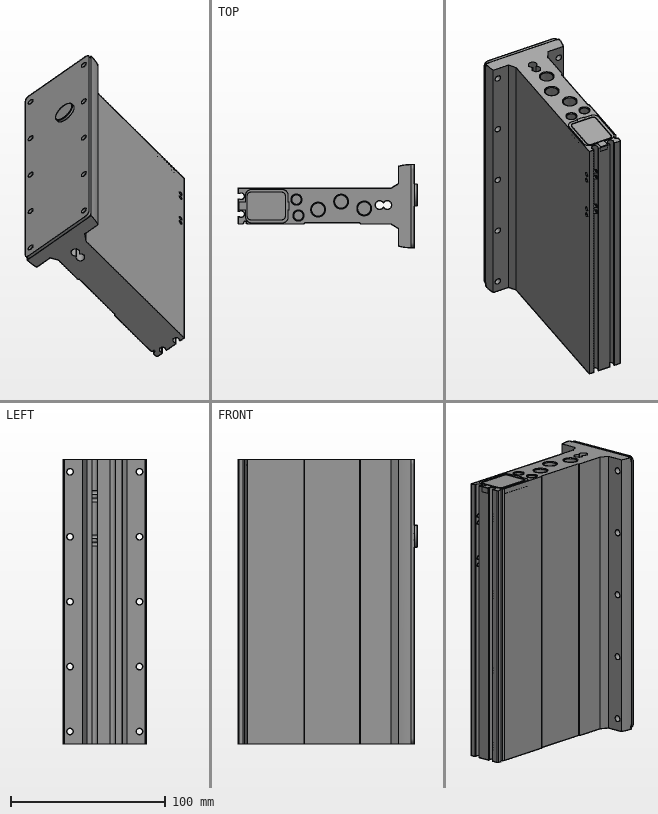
import cadquery as cq

length = 184.4
overall_width = 116.2
flange_width = 54.0

plate_x = 112.1
web_half = 11.6
flange_x = 103.8
gusset_x = 99.0
gusset_half = 14.5
flange_half = flange_width / 2
flange_land = 0.5
flange_edge_drop = 1.1
edge_chamfer = 0.5

panel_start = 42.6
panel_end = 79.3
panel_depth = 0.7
panel_slope = 0.5
groove_start = 3.3
groove_end = 5.2
groove_depth = 1.8
groove_lean = 1.0
groove_bevel = 1.1
groove_bevel_depth = 0.5

slot_centres_y = (6.5, -5.2)
slot_mouth = 3.3
slot_bulb_diameter = 4.0
slot_centre_x = 2.0

cross_hole_diameter = 2.5
cross_hole_x = 3.7
cross_hole_pairs_z = (160.5, 131.8)
cross_hole_spacing = 4.8

small_holes = ((37.8, 4.2), (39.1, -6.0))
large_holes = ((51.8, -2.2), (66.8, 3.0), (81.7, -1.5))
small_hole_diameter = 6.0
large_hole_diameter = 8.5
end_hole_depth = 36.9
rim_chamfer = 0.5
rim_angle = 45.0
twin_hole_diameter = 5.5
twin_holes = ((91.6, 0.7), (96.6, 0.7))

mount_hole_diameter = 4.0
mount_hole_y = 22.5
mount_hole_count = 5
mount_hole_pitch = 42.0

cap_x = (4.8, 32.5)
cap_y = (-10.9, 10.9)
cap_radius = 4.0
cap_depth = 3.7
tab_x = (0.7, 33.0)
tab_y = (-2.4, 2.8)
cap_panel_x = (5.9, 30.6)
cap_panel_y = (-8.9, 9.0)
cap_panel_radius = 2.2
cap_panel_depth = 0.4

plate_thickness = 2.0
plate_corner_radius = 3.3

knob_diameter = 14.4
knob_y = 7.2
knob_z = 134.6
knob_chamfer = 0.4


def box_between(x_range, y_range, z_range):
    """Box spanning three (low, high) ranges."""
    corner = (x_range[0], y_range[0], z_range[0])
    return cq.Workplane("XY").box(
        x_range[1] - x_range[0],
        y_range[1] - y_range[0],
        z_range[1] - z_range[0],
        centered=False,
    ).translate(corner)


def profile_body():
    """Web and curved flange, with the groove and shallow panel of the -Y face in the outline."""
    edge_half = flange_half - flange_edge_drop
    flange_run = plate_x - flange_land - flange_x
    edge_arc_radius = (flange_run**2 + flange_edge_drop**2) / (2 * flange_edge_drop)
    return (
        cq.Workplane("XY")
        .moveTo(0, web_half)
        .lineTo(gusset_x, web_half)
        .lineTo(flange_x, gusset_half)
        .lineTo(flange_x, edge_half)
        .radiusArc((plate_x - flange_land, flange_half), edge_arc_radius)
        .lineTo(plate_x, flange_half)
        .lineTo(plate_x, -flange_half)
        .lineTo(plate_x - flange_land, -flange_half)
        .radiusArc((flange_x, -edge_half), edge_arc_radius)
        .lineTo(flange_x, -gusset_half)
        .lineTo(gusset_x, -web_half)
        .lineTo(panel_end, -web_half)
        .lineTo(panel_end - panel_slope, panel_depth - web_half)
        .lineTo(panel_start + panel_slope, panel_depth - web_half)
        .lineTo(panel_start, -web_half)
        .lineTo(groove_end + groove_bevel, -web_half)
        .lineTo(groove_end, groove_bevel_depth - web_half)
        .lineTo(groove_end, groove_depth - web_half)
        .lineTo(groove_start + groove_lean, groove_depth - web_half)
        .lineTo(groove_start, -web_half)
        .lineTo(edge_chamfer, -web_half)
        .lineTo(0, edge_chamfer - web_half)
        .close()
        .extrude(length)
    )


def edge_slot(y):
    """Full-length slot with a round bottom, open to the -X edge."""
    mouth = box_between(
        (0, slot_centre_x), (y - slot_mouth / 2, y + slot_mouth / 2), (0, length)
    )
    bulb = (
        cq.Workplane("XY")
        .center(slot_centre_x, y)
        .circle(slot_bulb_diameter / 2)
        .extrude(length)
    )
    return mouth.union(bulb)


def cross_holes():
    """Two pairs of holes from the +Y face to the far wall of the upper slot."""
    depth = web_half - (slot_centres_y[0] - slot_bulb_diameter / 2)
    points = [
        (cross_hole_x, pair_z + side * cross_hole_spacing / 2)
        for pair_z in cross_hole_pairs_z
        for side in (-1, 1)
    ]
    return (
        cq.Workplane("XZ", origin=(0, web_half, 0))
        .pushPoints(points)
        .circle(cross_hole_diameter / 2)
        .extrude(depth)
    )


def end_holes(points, diameter):
    """Blind holes with a chamfered rim, sunk from the top end."""
    holes = (
        cq.Workplane("XY", origin=(0, 0, length))
        .pushPoints(points)
        .circle(diameter / 2)
        .extrude(-end_hole_depth)
    )
    rims = (
        cq.Workplane("XY", origin=(0, 0, length))
        .pushPoints(points)
        .circle(diameter / 2 + rim_chamfer)
        .extrude(-rim_chamfer, taper=rim_angle)
    )
    return holes.union(rims)


def twin_hole():
    """Two overlapping holes running the whole length."""
    hole = cq.Workplane("XY")
    for x, y in twin_holes:
        hole = hole.union(
            cq.Workplane("XY").center(x, y).circle(twin_hole_diameter / 2).extrude(length)
        )
    return hole


def mount_holes():
    """Two rows of holes along X through the flange and the cover plate."""
    return (
        cq.Workplane("YZ", origin=(flange_x, 0, length / 2))
        .rarray(2 * mount_hole_y, mount_hole_pitch, 2, mount_hole_count)
        .circle(mount_hole_diameter / 2)
        .extrude(overall_width - flange_x)
    )


def cap_blank():
    """Rounded block with a tab at each end, filling the recess in the top end."""
    z_range = (length - cap_depth, length)
    block = box_between(cap_x, cap_y, z_range).edges("|Z").fillet(cap_radius)
    return block.union(box_between(tab_x, tab_y, z_range))


def make_housing():
    housing = profile_body()
    for slot_y in slot_centres_y:
        housing = housing.cut(edge_slot(slot_y))
    housing = housing.cut(cross_holes())
    housing = housing.cut(end_holes(small_holes, small_hole_diameter))
    housing = housing.cut(end_holes(large_holes, large_hole_diameter))
    housing = housing.cut(twin_hole())
    housing = housing.cut(mount_holes())
    return housing.cut(cap_blank())


def make_end_cap():
    panel = box_between(cap_panel_x, cap_panel_y, (length - cap_panel_depth, length))
    return cap_blank().cut(panel.edges("|Z").fillet(cap_panel_radius))


def make_cover_plate():
    plate = box_between(
        (plate_x, plate_x + plate_thickness), (-flange_half, flange_half), (0, length)
    )
    return plate.edges("|X").fillet(plate_corner_radius).cut(mount_holes())


def make_knob():
    """Disc on the outer face of the plate, with a chamfered free rim."""
    base_x = plate_x + plate_thickness
    return (
        cq.Workplane("YZ", origin=(base_x, knob_y, knob_z))
        .circle(knob_diameter / 2)
        .extrude(overall_width - base_x)
        .faces(">X")
        .chamfer(knob_chamfer)
    )


housing = make_housing()
end_cap = make_end_cap()
cover_plate = make_cover_plate()
knob = make_knob()

result = cq.Compound.makeCompound(
    [housing.val(), end_cap.val(), cover_plate.val(), knob.val()]
)